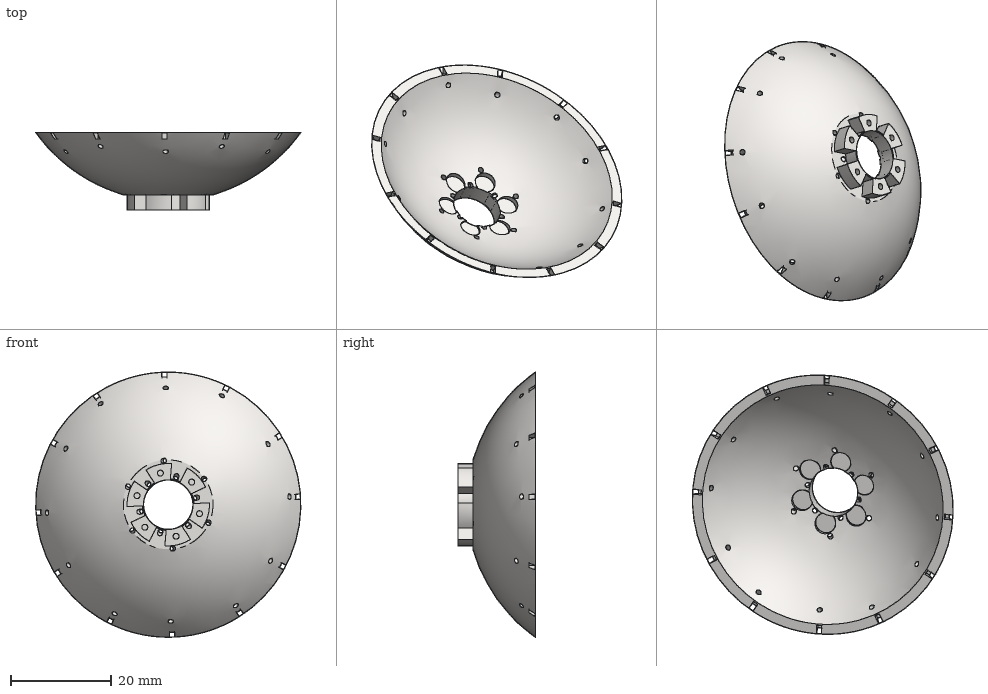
import cadquery as cq
import math


REPEATS = 6
STEP = 360 / REPEATS
margin = 2.0

rim_radius = 26.47
seat_radius = 8.93
dish_height = 12.5
wall = 1.65

sphere_center = (rim_radius**2 - seat_radius**2 + dish_height**2) / (2 * dish_height)
sphere_radius = math.hypot(seat_radius, sphere_center)

bore_radius = 9.82 / 2
collar_radius = 5.15
post_radius = 8.22
post_height = 3.0
post_span = 37.3
post_angle = 43.95

post_hole_diameter = 1.18
post_hole_radius = 6.49
post_hole_depth = 2.0

recess_diameter = 4.1
recess_floor = 0.5

tie_hole_diameter = 1.0
gap_hole_radius = 5.84
gap_hole_angle = post_angle - STEP / 2
gap_hole_tilt = 34
seat_hole_radius = 8.8
seat_hole_angle = 36.0
seat_hole_tilt = 16
rim_hole_tilt = 20
rim_holes = [(31.25, 23.3), (3.8, 24.25)]

notch_width = 1.0
notch_depth = 1.3
notch_inner = 24.7
notch_outer = 26.38
notch_angles = (31.7, 3.5)


def cylinder(diameter, start, direction, length):
    """Solid cylinder from a start point along a direction."""
    return cq.Workplane(
        cq.Solid.makeCylinder(diameter / 2, length, cq.Vector(*start), cq.Vector(*direction))
    )


def disc(radius, bottom, height):
    """Solid cylinder on the Y axis."""
    return cylinder(2 * radius, (0, bottom, 0), (0, 1, 0), height)


def turned(shape, angle):
    """Turn a shape built along +X to an angle around the Y axis."""
    return shape.rotate((0, 0, 0), (0, 1, 0), -angle)


def cut_around(body, tool, angle):
    """Cut six copies of a tool, the first one at the given angle."""
    for index in range(REPEATS):
        body = body.cut(turned(tool, angle + index * STEP))
    return body


def ball(radius):
    """Ball about the centre of the dish."""
    return cq.Workplane("XY").sphere(radius).translate((0, sphere_center, 0))


def dish():
    slab = disc(rim_radius + margin, 0, dish_height)
    return slab.intersect(ball(sphere_radius)).cut(ball(sphere_radius - wall))


def post():
    """One sector-shaped post, centred on +X."""
    reach = 2 * post_radius
    half_width = reach * math.tan(math.radians(post_span / 2))
    wedge = (
        cq.Workplane("XZ")
        .polyline([(0, 0), (reach, -half_width), (reach, half_width)])
        .close()
        .extrude(post_height)
    )
    return wedge.intersect(disc(post_radius, -post_height, post_height))


def hub():
    body = disc(collar_radius, -post_height, post_height)
    for index in range(REPEATS):
        body = body.union(turned(post(), post_angle + index * STEP))
    return body


def post_hole():
    start = (post_hole_radius, -post_height, 0)
    return cylinder(post_hole_diameter, start, (0, 1, 0), post_hole_depth)


def recess():
    start = (post_hole_radius, recess_floor, 0)
    return cylinder(recess_diameter, start, (0, 1, 0), dish_height)


def tie_hole(radius, height, direction):
    """Slanted hole through the shell, centred on a point of the outer surface."""
    axis = cq.Vector(*direction).normalized()
    start = cq.Vector(radius, height, 0) - axis * tie_hole_diameter
    length = 2 * (wall + tie_hole_diameter)
    return cylinder(tie_hole_diameter, start.toTuple(), axis.toTuple(), length)


def gap_hole():
    """Hole between two posts; it starts at the seat so that the collar stays whole."""
    lean = math.radians(gap_hole_tilt)
    hole = tie_hole(gap_hole_radius, 0, (-math.sin(lean), math.cos(lean), 0))
    return hole.intersect(disc(rim_radius, 0, dish_height))


def seat_hole():
    """Hole on the edge of the seat; it is kept clear of the post beside it."""
    lean = math.radians(seat_hole_tilt)
    hole = tie_hole(seat_hole_radius, 0, (0, math.cos(lean), -math.sin(lean)))
    return hole.intersect(disc(rim_radius, 0, dish_height))


def rim_hole(radius):
    rise = math.sqrt(sphere_radius**2 - radius**2)
    sideways = sphere_radius * math.tan(math.radians(rim_hole_tilt))
    return tie_hole(radius, sphere_center - rise, (-radius, rise, sideways))


def notch():
    box = cq.Workplane("XY").box(
        notch_outer - notch_inner, notch_depth, notch_width, centered=(False, False, True)
    )
    return box.translate((notch_inner, dish_height - notch_depth, 0))


bore = disc(bore_radius, -post_height - margin, post_height + dish_height)

result = dish().union(hub()).cut(bore)
result = cut_around(result, post_hole(), post_angle)
result = cut_around(result, recess(), post_angle)
result = cut_around(result, gap_hole(), gap_hole_angle)
result = cut_around(result, seat_hole(), seat_hole_angle)
for hole_angle, hole_radius in rim_holes:
    result = cut_around(result, rim_hole(hole_radius), hole_angle)
for notch_angle in notch_angles:
    result = cut_around(result, notch(), notch_angle)